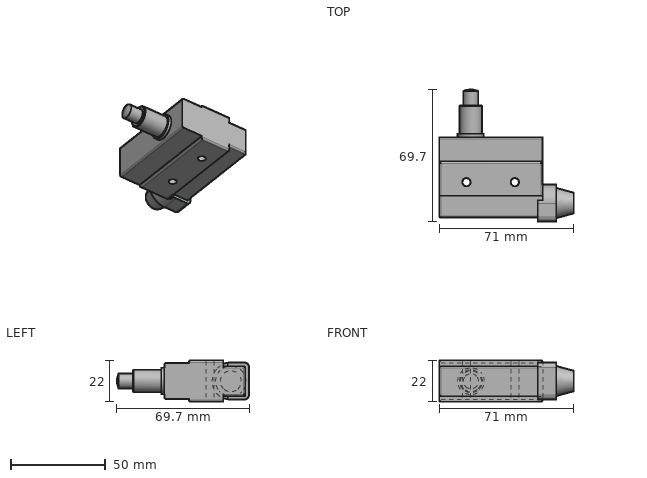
import cadquery as cq

BODY_LENGTH = 54.5
BODY_FRONT = 0.0
BODY_REAR = 42.5

REAR_THICKNESS = 19.0
REAR_EDGE_RADIUS = 0.9

MOUNT_THICKNESS = 22.0
MOUNT_FRONT = 11.5
MOUNT_REAR = 29.6
EDGE_RADIUS = 1.0

COVER_THICKNESS = 15.8

HOLE_DIAMETER = 4.21
HOLE_COUNT = 2
HOLE_SPACING = 25.5
HOLE_FIRST_X = 14.4
HOLE_Y = 18.7

PLUNGER_X = 16.65
COLLAR_DIAMETER = 14.0
COLLAR_LENGTH = 1.8
BARREL_DIAMETER = 12.0
BARREL_LENGTH = 14.9
BARREL_CHAMFER = 0.5
BUTTON_DIAMETER = 8.0
BUTTON_LENGTH = 7.5
DOME_HEIGHT = 0.9

GLAND_START = 51.9
GLAND_END = 61.8
GLAND_THICKNESS = 19.6
GLAND_AXIS_Y = 7.7
GLAND_CORNER_RADIUS = 2.6
GLAND_OVERLAP_REAR = 9.2
CONE_END = 71.0
CONE_BASE_DIAMETER = 16.0
CONE_TIP_DIAMETER = 11.0


def slab(y_front, y_rear, thickness):
    """Full-length block between two Y positions, centred on the mid plane."""
    return cq.Workplane("XY").box(
        BODY_LENGTH, y_rear - y_front, thickness, centered=(False, False, True)
    ).translate((0, y_front, 0))


def make_rear_block():
    block = slab(MOUNT_FRONT, BODY_REAR, REAR_THICKNESS)
    return block.faces(">Y").edges("|X").fillet(REAR_EDGE_RADIUS)


def make_mount_section():
    """Raised section, rounded on its left, right and rear rims but sharp in front."""
    block = slab(MOUNT_FRONT, MOUNT_REAR, MOUNT_THICKNESS)
    return block.faces("<Z or >Z").edges("|Y or >Y").fillet(EDGE_RADIUS)


def make_cover():
    """Front cover, rounded around its left end and along its upper front edge."""
    block = slab(BODY_FRONT, MOUNT_FRONT, COVER_THICKNESS)
    left_end = block.faces("<X").edges("not >Y")
    upper_front = block.faces("<Y").edges(">Z")
    return left_end.add(upper_front).fillet(EDGE_RADIUS)


def make_plunger():
    """Plunger turned about the Y axis: collar, chamfered barrel and domed button."""
    collar_radius = COLLAR_DIAMETER / 2
    barrel_radius = BARREL_DIAMETER / 2
    button_radius = BUTTON_DIAMETER / 2
    collar_end = BODY_REAR + COLLAR_LENGTH
    barrel_end = collar_end + BARREL_LENGTH
    button_end = barrel_end + BUTTON_LENGTH
    dome_top = button_end + DOME_HEIGHT
    dome_radius = (button_radius**2 + DOME_HEIGHT**2) / (2 * DOME_HEIGHT)

    profile = (
        cq.Workplane("XY")
        .moveTo(0, MOUNT_REAR)
        .lineTo(barrel_radius, MOUNT_REAR)
        .lineTo(barrel_radius, BODY_REAR)
        .lineTo(collar_radius, BODY_REAR)
        .lineTo(collar_radius, collar_end)
        .lineTo(barrel_radius, collar_end)
        .lineTo(barrel_radius, barrel_end - BARREL_CHAMFER)
        .lineTo(barrel_radius - BARREL_CHAMFER, barrel_end)
        .lineTo(button_radius, barrel_end)
        .lineTo(button_radius, button_end)
        .radiusArc((0, dome_top), -dome_radius)
        .close()
    )
    return profile.revolve(360, (0, 0, 0), (0, 1, 0)).translate((PLUNGER_X, 0, 0))


def make_gland():
    """Cable gland: square front with rounded corners, half-round rear, tapered nose."""
    radius = GLAND_THICKNESS / 2
    front = GLAND_AXIS_Y - radius
    collar = (
        cq.Workplane("YZ", origin=(GLAND_START, 0, 0))
        .moveTo(front, -radius)
        .lineTo(GLAND_AXIS_Y, -radius)
        .threePointArc((GLAND_AXIS_Y + radius, 0), (GLAND_AXIS_Y, radius))
        .lineTo(front, radius)
        .close()
        .extrude(GLAND_END - GLAND_START)
    )
    collar = collar.faces("<Y").edges("|X").fillet(GLAND_CORNER_RADIUS)

    relief = cq.Workplane("XY").box(
        BODY_LENGTH - GLAND_START, GLAND_THICKNESS, GLAND_THICKNESS, centered=(False, False, True)
    ).translate((GLAND_START, GLAND_OVERLAP_REAR, 0))

    nose = (
        cq.Workplane("YZ", origin=(GLAND_END, GLAND_AXIS_Y, 0))
        .circle(CONE_BASE_DIAMETER / 2)
        .workplane(offset=CONE_END - GLAND_END)
        .circle(CONE_TIP_DIAMETER / 2)
        .loft()
    )
    return collar.cut(relief).union(nose)


def make_mounting_holes():
    positions = [(HOLE_FIRST_X + i * HOLE_SPACING, HOLE_Y) for i in range(HOLE_COUNT)]
    return (
        cq.Workplane("XY", origin=(0, 0, -MOUNT_THICKNESS / 2))
        .pushPoints(positions)
        .circle(HOLE_DIAMETER / 2)
        .extrude(MOUNT_THICKNESS)
    )


housing = make_rear_block().union(make_mount_section()).union(make_cover())
result = housing.union(make_plunger()).union(make_gland()).cut(make_mounting_holes())